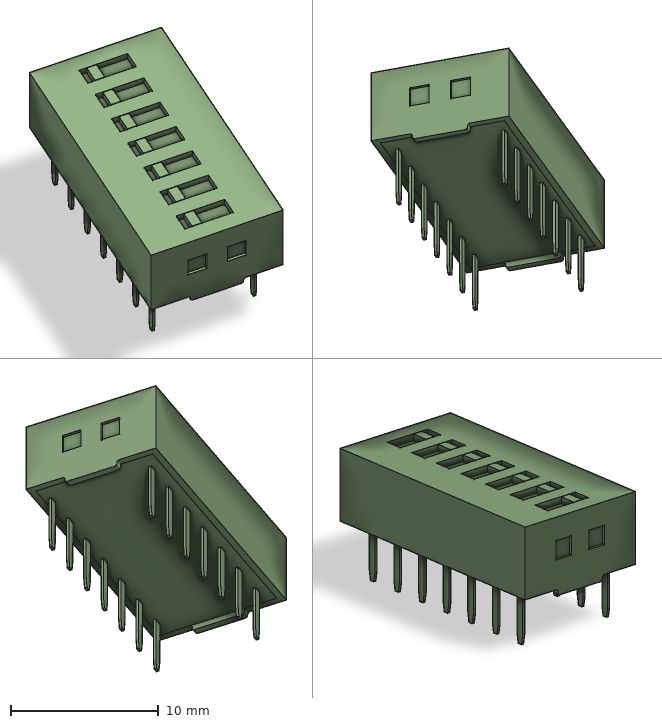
import cadquery as cq

length = 19.08
width = 9.9
height = 5.3
wall = 0.5

switch_count = 7
pitch = 2.54
slot_length_x = 1.35
slot_length_y = 3.63

slider_length_x = 1.28
slider_length_y = 0.75
slider_y = -0.9

foot_width = 3.99
foot_height = 0.44
foot_root_radius = 0.2
foot_tip_radius = 0.2

recess_size = 1.41
recess_depth = 0.21
recess_spacing = 2.95
recess_below_top = 2.42

overall_height = 9.4
pin_length = overall_height - height
pin_width = 0.6
pin_thickness = 0.2
pin_tip_width = 0.35
pin_tip_length = 0.75
pin_row_spacing = 7.61
pin_rows_center_y = -0.15

cavity_height = height - wall
switch_x = [(i - (switch_count - 1) / 2) * pitch for i in range(switch_count)]


def box_from_bottom(size_x, size_y, size_z):
    """A box centered on X = Y = 0 and standing on Z = 0."""
    return cq.Workplane("XY").box(size_x, size_y, size_z, centered=(True, True, False))


def cavity_block():
    """The space inside the cover, which the base fills."""
    return box_from_bottom(length - 2 * wall, width - 2 * wall, cavity_height)


def make_foot():
    """Tab under the -X end wall, with rounded roots and rounded lower corners."""
    half_width = foot_width / 2
    half_root = half_width + foot_root_radius
    half_tip = half_width - foot_tip_radius
    return (
        cq.Workplane("YZ", origin=(-length / 2, 0, 0))
        .moveTo(-half_root, 0)
        .radiusArc((-half_width, -foot_root_radius), foot_root_radius)
        .lineTo(-half_width, -foot_height + foot_tip_radius)
        .radiusArc((-half_tip, -foot_height), -foot_tip_radius)
        .lineTo(half_tip, -foot_height)
        .radiusArc((half_width, -foot_height + foot_tip_radius), -foot_tip_radius)
        .lineTo(half_width, -foot_root_radius)
        .radiusArc((half_root, 0), foot_root_radius)
        .close()
        .extrude(wall)
    )


def make_end_recesses():
    """Pair of shallow square cutters for the -X end wall."""
    return (
        cq.Workplane("YZ", origin=(-length / 2, 0, height - recess_below_top))
        .pushPoints([(-recess_spacing / 2, 0), (recess_spacing / 2, 0)])
        .rect(recess_size, recess_size)
        .extrude(recess_depth)
    )


def make_cover():
    """Shell with a slot per switch; both ends carry a foot and two recesses."""
    cover = box_from_bottom(length, width, height).cut(cavity_block())
    slots = (
        cq.Workplane("XY", origin=(0, 0, cavity_height))
        .pushPoints([(x, 0) for x in switch_x])
        .rect(slot_length_x, slot_length_y)
        .extrude(wall)
    )
    cover = cover.cut(slots)
    foot = make_foot()
    recesses = make_end_recesses()
    cover = cover.union(foot).union(foot.mirror("YZ"))
    return cover.cut(recesses).cut(recesses.mirror("YZ"))


def make_pin(x, y):
    """Flat blade hanging from Z = 0, narrowing in X towards its tip."""
    shoulder_z = -pin_length + pin_tip_length
    return (
        cq.Workplane("XZ", origin=(x, y + pin_thickness / 2, 0))
        .polyline([
            (-pin_width / 2, 0),
            (-pin_width / 2, shoulder_z),
            (-pin_tip_width / 2, -pin_length),
            (pin_tip_width / 2, -pin_length),
            (pin_width / 2, shoulder_z),
            (pin_width / 2, 0),
        ])
        .close()
        .extrude(pin_thickness)
    )


def make_base():
    """Block filling the cover, with a pin on each side of every switch."""
    base = cavity_block()
    for side in (-1, 1):
        pin_y = pin_rows_center_y + side * pin_row_spacing / 2
        for x in switch_x:
            base = base.union(make_pin(x, pin_y))
    return base


def make_slider(x):
    """Block standing on the base in the slot at x, flush with the top of the cover."""
    slider = box_from_bottom(slider_length_x, slider_length_y, wall)
    return slider.translate((x, slider_y, cavity_height))


cover = make_cover()
base = make_base()
sliders = [make_slider(x) for x in switch_x]

result = cq.Compound.makeCompound([
    cover.val(),
    base.val(),
    *[slider.val() for slider in sliders],
])